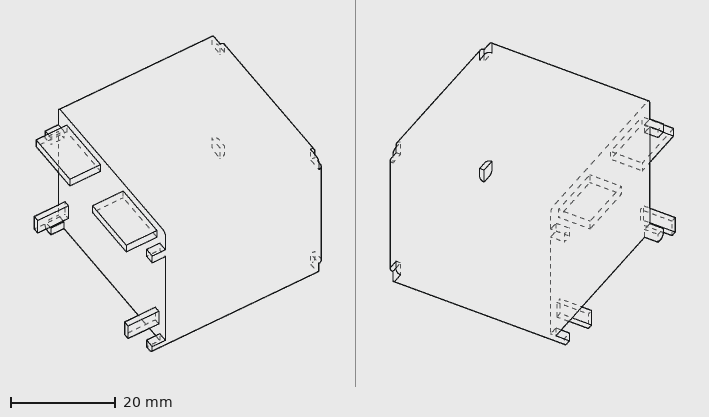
import cadquery as cq

WIDTH = 38.0
LENGTH = 42.8
HEIGHT = 33.0

PIN_LENGTH = 6.98
HOUSING_LENGTH = LENGTH - PIN_LENGTH
EDGE_RADIUS = 1.0
NOTCH_SIZE = 3.0
NOTCH_DEPTH = EDGE_RADIUS

FOOT_LENGTH = 3.0
FOOT_WIDTH = 2.0
FOOT_HEIGHT = 1.95
UPPER_FOOT_BOTTOM = 26.05

BLADE_INSET = 3.0
BLADE_WIDTH = 12.0
BLADE_THICKNESS = 1.93
BLADE_BOTTOM = 28.8

PIN_INSET = 2.35
PIN_THICKNESS = 1.25
PIN_HEIGHT = 3.65
PIN_BOTTOM = 4.45

FRONT_FACE = -HOUSING_LENGTH / 2
BACK_FACE = HOUSING_LENGTH / 2


def corner_block(width, y_start, length, height, x_start, z_start):
    """Box placed by its lowest-X, lowest-Y, lowest-Z corner."""
    return cq.Workplane("XY").box(width, length, height, centered=False).translate((x_start, y_start, z_start))


def mirrored_pair(side_inset, width, z_bottom, height, y_start, length):
    """Two equal blocks, each set in from its own side of the housing."""
    left = corner_block(width, y_start, length, height, side_inset - WIDTH / 2, z_bottom)
    return left.union(left.mirror("YZ"))


def projections(side_inset, width, z_bottom, height, length):
    """Mirrored pair standing out from the front face."""
    return mirrored_pair(side_inset, width, z_bottom, height, FRONT_FACE - length, length)


def rounded_bar(y_start, length):
    """Full-section bar along Y with its four long edges rounded."""
    bar = corner_block(WIDTH, y_start, length, HEIGHT, -WIDTH / 2, 0)
    return bar.edges("|Y").fillet(EDGE_RADIUS)


def make_housing():
    """Block with rounded long and back edges and square notches in the back corners."""
    housing = rounded_bar(FRONT_FACE, HOUSING_LENGTH).faces(">Y").edges().fillet(EDGE_RADIUS)
    for notch_bottom in (0, HEIGHT - NOTCH_SIZE):
        notches = mirrored_pair(0, NOTCH_SIZE, notch_bottom, NOTCH_SIZE, BACK_FACE - NOTCH_DEPTH, NOTCH_DEPTH)
        housing = housing.cut(notches)
    return housing


def make_feet():
    """Four short feet; the lower two follow the rounded corners of the housing."""
    lower = projections(0, FOOT_WIDTH, 0, FOOT_HEIGHT, FOOT_LENGTH)
    upper = projections(0, FOOT_WIDTH, UPPER_FOOT_BOTTOM, FOOT_HEIGHT, FOOT_LENGTH)
    return lower.union(upper).intersect(rounded_bar(FRONT_FACE - FOOT_LENGTH, FOOT_LENGTH))


blades = projections(BLADE_INSET, BLADE_WIDTH, BLADE_BOTTOM, BLADE_THICKNESS, PIN_LENGTH)
upright_pins = projections(PIN_INSET, PIN_THICKNESS, PIN_BOTTOM, PIN_HEIGHT, PIN_LENGTH)

result = make_housing().union(make_feet()).union(blades).union(upright_pins)